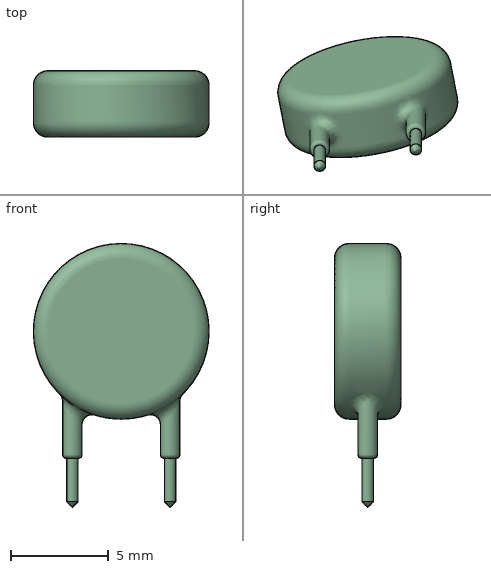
import cadquery as cq

disc_diameter = 8.99
disc_thickness = 3.4
disc_edge_radius = 0.75

lead_pitch = 5.0
sleeve_diameter = 1.0
sleeve_edge_radius = 0.19
sleeve_blend_radius = 0.5
pin_diameter = 0.6
pin_tip_height = pin_diameter / 2

overall_height = 13.5
pin_length = 2.51

tip_z = disc_diameter / 2 - overall_height
sleeve_bottom_z = tip_z + pin_length


def make_disc():
    disc = cq.Workplane("XZ").circle(disc_diameter / 2).extrude(disc_thickness / 2, both=True)
    return disc.faces("<Y or >Y").edges().fillet(disc_edge_radius)


def make_sleeve(x):
    """Sleeve with a rounded lower rim, reaching up to the height of the disc axis."""
    sleeve = (
        cq.Workplane("XY", origin=(0, 0, sleeve_bottom_z))
        .circle(sleeve_diameter / 2)
        .extrude(-sleeve_bottom_z)
        .faces("<Z")
        .edges()
        .fillet(sleeve_edge_radius)
    )
    return sleeve.rotate((0, 0, 0), (0, 0, 1), 90).translate((x, 0, 0))


def make_pin(x):
    """Pin with a conical tip, revolved about its own axis and rooted inside the sleeve."""
    radius = pin_diameter / 2
    profile = (
        cq.Workplane("XZ", origin=(x, 0, 0))
        .moveTo(0, tip_z)
        .lineTo(radius, tip_z + pin_tip_height)
        .lineTo(radius, sleeve_bottom_z + sleeve_diameter)
        .lineTo(0, sleeve_bottom_z + sleeve_diameter)
        .close()
    )
    return profile.revolve(360, (0, 0, 0), (0, 1, 0))


lead_positions = (-lead_pitch / 2, lead_pitch / 2)

result = make_disc()
for lead_x in lead_positions:
    result = result.union(make_sleeve(lead_x))

result = result.edges("%BSPLINE").fillet(sleeve_blend_radius)

for lead_x in lead_positions:
    result = result.union(make_pin(lead_x))